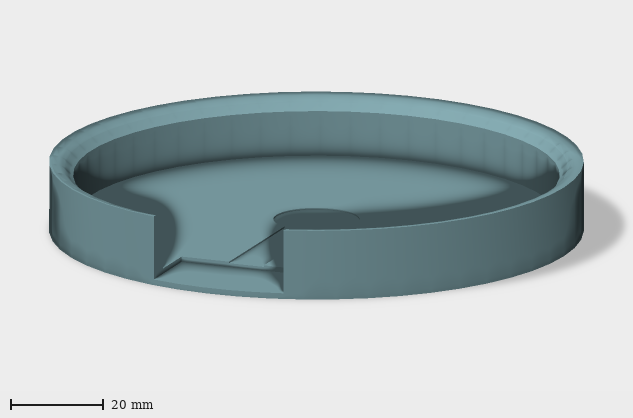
import cadquery as cq
import math

outer_radius = 57.5
height = 15.3
floor_thickness = 2.4
bore_radius = 52.3

lip_width = 0.5
bevel_size = 1.7
bevel_angle = math.radians(45)

recess_depth = 0.3
disc_diameter = 18.5
channel_width = 8.0

notch_width = 30.1
notch_inner_y = -39.7
notch_floor = 1.3


def make_tray():
    """Revolve the tray's half section about Z."""
    lip_radius = outer_radius - lip_width
    bevel_top_radius = bore_radius + bevel_size
    rounding_radius = (lip_radius - bevel_top_radius) / math.sin(bevel_angle)
    rounding_center_z = height - rounding_radius
    bevel_top_z = rounding_center_z + rounding_radius * math.cos(bevel_angle)
    rounding_middle = (
        lip_radius - rounding_radius * math.sin(bevel_angle / 2),
        rounding_center_z + rounding_radius * math.cos(bevel_angle / 2),
    )
    return (
        cq.Workplane("XZ")
        .moveTo(0, 0)
        .lineTo(outer_radius, 0)
        .lineTo(outer_radius, height)
        .lineTo(lip_radius, height)
        .threePointArc(rounding_middle, (bevel_top_radius, bevel_top_z))
        .lineTo(bore_radius, bevel_top_z - bevel_size * math.tan(bevel_angle))
        .lineTo(bore_radius, floor_thickness)
        .lineTo(0, floor_thickness)
        .close()
        .revolve(360, (0, 0), (0, 1))
    )


def make_recess():
    """Disc and channel, cut down from the floor surface."""
    recess_plane = cq.Workplane("XY").workplane(offset=floor_thickness - recess_depth)
    disc = recess_plane.circle(disc_diameter / 2).extrude(recess_depth)
    channel = (
        recess_plane.center(0, notch_inner_y / 2)
        .rect(channel_width, -notch_inner_y)
        .extrude(recess_depth)
    )
    return disc.union(channel)


def make_notch():
    """Block that opens the wall from the notch floor to above the rim."""
    notch_length = outer_radius + notch_inner_y
    return (
        cq.Workplane("XY")
        .workplane(offset=notch_floor)
        .center(0, notch_inner_y - notch_length / 2)
        .rect(notch_width, notch_length)
        .extrude(height - notch_floor)
    )


result = make_tray().cut(make_recess()).cut(make_notch())